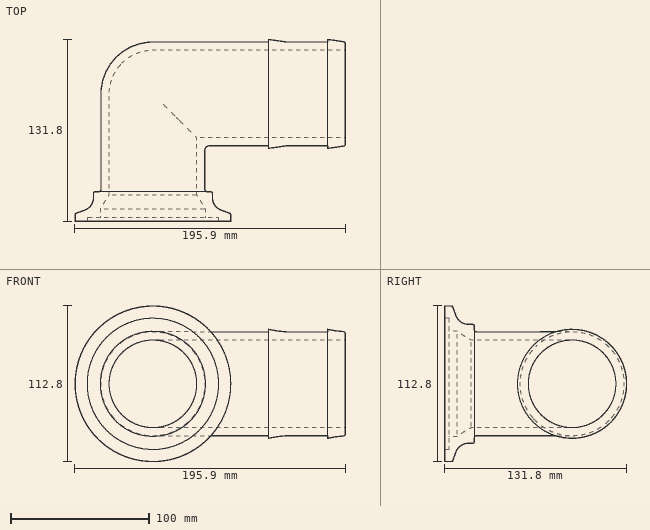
import cadquery as cq
import math

pipe_radius = 75.4 / 2
bore_radius = 63.5 / 2
bend_fillet = 3.0

outlet_length = 139.5
barb_radius = 79.1 / 2
barb_length = 13.0
barb_starts = (83.6, outlet_length - barb_length)
end_round = 1.8

inlet_length = 92.2
flange_radius = 112.8 / 2
rim_round = 1.2
cone_angle = math.radians(20)
throat_radius = 9.4
collar_radius = 86.4 / 2
collar_start = 17.0
collar_top = 21.5
collar_blend = 1.47

recess_radius = 95.2 / 2
recess_depth = 3.0
mouth_radius = 76.2 / 2
mouth_length = 6.0
taper_length = 10.2

face_y = -inlet_length


def around_inlet(profile):
    """Revolve a (radius, Y) profile about the inlet axis."""
    return profile.close().revolve(360, (0, 0, 0), (0, 1, 0))


def circles_at(part, y):
    """All circular edges of a turned part that lie at one height along Y."""
    tolerance = 0.002
    return part.edges("%CIRCLE").filter(lambda edge: abs(edge.Center().y - y) < tolerance)


def flanged_inlet():
    """Solid inlet pipe with rim, sloped clamp face, concave throat and collar."""
    collar_y = face_y + collar_start
    top_y = face_y + collar_top
    throat_center = (collar_radius + throat_radius, collar_y)

    def throat_point(angle):
        return (
            throat_center[0] - throat_radius * math.cos(angle),
            throat_center[1] - throat_radius * math.sin(angle),
        )

    throat_sweep = math.pi / 2 - cone_angle
    throat_base = throat_point(throat_sweep)
    cone_drop = (flange_radius - throat_base[0]) * math.tan(cone_angle)
    rim_y = throat_base[1] - cone_drop

    inlet = around_inlet(
        cq.Workplane("XY")
        .moveTo(0, face_y)
        .lineTo(flange_radius, face_y)
        .lineTo(flange_radius, rim_y)
        .lineTo(*throat_base)
        .threePointArc(throat_point(throat_sweep / 2), (collar_radius, collar_y))
        .lineTo(collar_radius, top_y)
        .lineTo(pipe_radius, top_y)
        .lineTo(pipe_radius, 0)
        .lineTo(0, 0)
    )
    inlet = circles_at(inlet, rim_y).fillet(rim_round)
    return circles_at(inlet, top_y).fillet(collar_blend)


def barbed_outlet():
    """Solid outlet pipe with barbs that start at a square shoulder and taper toward the hose end."""
    profile = cq.Workplane("XY").lineTo(0, pipe_radius)
    for start in barb_starts:
        profile = (
            profile.lineTo(start, pipe_radius)
            .lineTo(start, barb_radius)
            .lineTo(start + barb_length, pipe_radius)
        )
    outlet = profile.lineTo(outlet_length, 0).close().revolve(360, (0, 0, 0), (1, 0, 0))
    return outlet.faces(">X").edges().fillet(end_round)


def bore():
    """Elbow passage with a ball-shaped outer corner, open at both ends."""
    inlet_bore = cq.Workplane("XZ").circle(bore_radius).extrude(inlet_length)
    outlet_bore = cq.Workplane("YZ").circle(bore_radius).extrude(outlet_length)
    return inlet_bore.union(outlet_bore).union(cq.Workplane("XY").sphere(bore_radius))


def mouth():
    """Shallow gasket recess, straight entry and taper leading down to the bore."""
    recess_y = face_y + recess_depth
    entry_y = recess_y + mouth_length
    taper_end_y = entry_y + taper_length
    return around_inlet(
        cq.Workplane("XY")
        .moveTo(0, face_y)
        .lineTo(recess_radius, face_y)
        .lineTo(recess_radius, recess_y)
        .lineTo(mouth_radius, recess_y)
        .lineTo(mouth_radius, entry_y)
        .lineTo(bore_radius, taper_end_y)
        .lineTo(0, taper_end_y)
    )


pipes = flanged_inlet().union(barbed_outlet())
filleted_bend = pipes.edges("%ELLIPSE").fillet(bend_fillet)
body = filleted_bend.union(cq.Workplane("XY").sphere(pipe_radius))

result = body.cut(bore()).cut(mouth())